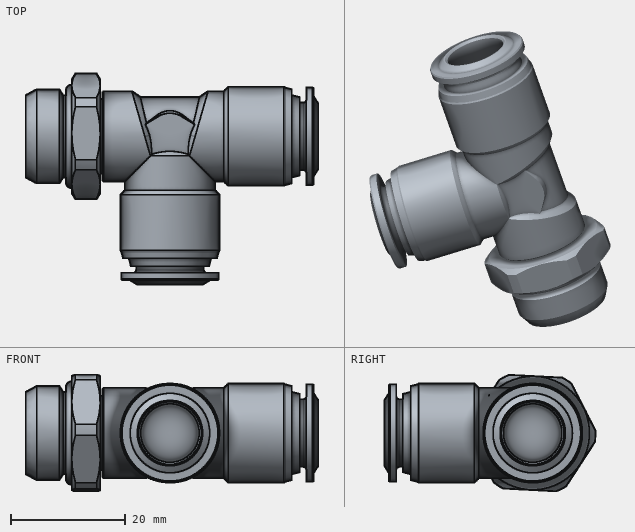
import cadquery as cq
import math


total_length = 51.3
port_reach = 26.0
stud_end_x = port_reach - total_length
body_radius = 7.95

stud_length = 13.45
thread_radius = 8.25
thread_root_radius = 7.25
thread_lead = 1.9
thread_end = 5.9
relief_start = 6.55
seal_centre_radius = 8.05
seal_section_radius = 1.05
seal_recess_radius = 9.45
seal_recess_depth = 0.35
hex_start = 8.05
hex_end = 13.1
neck_radius = 6.55
stud_bore_radius = 5.0
stud_bore_depth = 5.95
stud_bore_chamfer = 0.5

hex_flats = 20.0
hex_corners = 22.05
hex_chamfer_length = 0.65
hex_chamfer_radius = 9.95
hex_turn = -3.0

socket_radius = 8.7
socket_cone_start = 16.55
socket_start = 15.75
socket_end = 6.05
socket_bevel_end = 5.8
socket_bevel_radius = 8.55
lip_end = 4.6
lip_end_radius = 8.25
insert_radius = 7.25
insert_end = 3.25
insert_end_radius = 6.85
collet_neck_radius = 5.95
collet_neck_fillet = 0.5
collet_flange_radius = 8.55
collet_flange_start = 2.1
collet_flange_end = 0.75
collet_flange_bevel_length = 0.25
collet_flange_bevel_height = 0.15
collet_nose_radius = 7.0
collet_tip_radius = 5.75
collet_mouth_radius = 5.5
collet_mouth_depth = 0.35
port_bore_radius = 5.15
port_bore_depth = 4.65

body_edge_chamfer = 0.25
recess_level = 6.9
recess_tilt = 16.0
recess_wall_x = 4.4
recess_wall_taper = 50.0
recess_wall_length = 1.55
trim_size = 4 * body_radius
core_half_length = 6.15
pad_crown_radius = 4.05
pad_rear_y = 4.05
pad_side_angle = 32.0
pad_draft = 15.0
pad_draft_depth = 3.1
branch_root_y = -3.4
branch_root_length = 1.05
branch_root_angle = 53.0


def revolve_along_x(profile):
    """Revolve (x, radius) points about the X axis."""
    return cq.Workplane("XY").polyline(profile).close().revolve(360, (0, 0, 0), (1, 0, 0))


def make_hexagon():
    """Hexagon with turned corners and a chamfer on both faces, measured from the stud end."""
    blank = (
        cq.Workplane("YZ", origin=(hex_start, 0, 0))
        .polygon(6, hex_flats / math.cos(math.radians(30)))
        .extrude(hex_end - hex_start)
    )
    corner_radius = hex_corners / 2
    envelope = revolve_along_x([
        (hex_start, 0),
        (hex_start, hex_chamfer_radius),
        (hex_start + hex_chamfer_length, corner_radius),
        (hex_end - hex_chamfer_length, corner_radius),
        (hex_end, hex_chamfer_radius),
        (hex_end, 0),
    ])
    recess = revolve_along_x([
        (hex_start, 0),
        (hex_start, seal_recess_radius),
        (hex_start + seal_recess_depth, seal_recess_radius - seal_recess_depth),
        (hex_start + seal_recess_depth, 0),
    ])
    return blank.intersect(envelope).cut(recess)


def make_seal_ring():
    """Round-section ring half exposed in front of the hexagon."""
    return (
        cq.Workplane("XY", origin=(hex_start, 0, 0))
        .center(0, seal_centre_radius)
        .circle(seal_section_radius)
        .revolve(360, (0, -seal_centre_radius, 0), (1, -seal_centre_radius, 0))
    )


def make_stud():
    """Threaded stud with its hexagon, blind bore and plain rear face."""
    turned = revolve_along_x([
        (0, 0),
        (0, thread_root_radius),
        (thread_lead, thread_radius),
        (thread_end, thread_radius),
        (relief_start, thread_root_radius),
        (hex_end, thread_root_radius),
        (hex_end, neck_radius),
        (stud_length, neck_radius),
        (stud_length, 0),
    ])
    bore = revolve_along_x([
        (0, 0),
        (0, stud_bore_radius + stud_bore_chamfer),
        (stud_bore_chamfer, stud_bore_radius),
        (stud_bore_depth, stud_bore_radius),
        (stud_bore_depth, 0),
    ])
    stud = turned.union(make_seal_ring()).union(make_hexagon()).cut(bore)
    return stud.rotate((0, 0, 0), (1, 0, 0), hex_turn).translate((stud_end_x, 0, 0))


def make_port():
    """Push-in port along +X, from the socket to the collet tip."""
    flange_back = port_reach - collet_flange_start
    flange_front = port_reach - collet_flange_end
    fillet_chord = collet_neck_fillet * (1 - math.cos(math.pi / 4))
    port = (
        cq.Workplane("XY")
        .moveTo(port_reach - socket_cone_start, 0)
        .lineTo(port_reach - socket_cone_start, body_radius)
        .lineTo(port_reach - socket_start, socket_radius)
        .lineTo(port_reach - socket_end, socket_radius)
        .lineTo(port_reach - socket_bevel_end, socket_bevel_radius)
        .lineTo(port_reach - lip_end, lip_end_radius)
        .lineTo(port_reach - lip_end, insert_radius)
        .lineTo(port_reach - insert_end, insert_end_radius)
        .lineTo(port_reach - insert_end, collet_neck_radius)
        .lineTo(flange_back - collet_neck_fillet, collet_neck_radius)
        .threePointArc(
            (flange_back - fillet_chord, collet_neck_radius + fillet_chord),
            (flange_back, collet_neck_radius + collet_neck_fillet),
        )
        .lineTo(flange_back, collet_flange_radius)
        .lineTo(flange_front - collet_flange_bevel_length, collet_flange_radius)
        .lineTo(flange_front, collet_flange_radius - collet_flange_bevel_height)
        .lineTo(flange_front, collet_nose_radius)
        .lineTo(port_reach, collet_tip_radius)
        .lineTo(port_reach, 0)
        .close()
        .revolve(360, (0, 0, 0), (1, 0, 0))
    )
    bore = revolve_along_x([
        (port_reach - port_bore_depth, 0),
        (port_reach - port_bore_depth, port_bore_radius),
        (port_reach - collet_mouth_depth, port_bore_radius),
        (port_reach, collet_mouth_radius),
        (port_reach, 0),
    ])
    return port.cut(bore)


def make_run_half(start_x):
    """Run tube from start_x (negative) up to its tilted, tapered recess wall."""
    tilt = math.radians(recess_tilt)
    tube = revolve_along_x([
        (start_x, 0),
        (start_x, body_radius - body_edge_chamfer),
        (start_x + body_edge_chamfer, body_radius),
        (0, body_radius),
        (0, 0),
    ])
    wall_plane = cq.Plane(
        origin=(-recess_wall_x, 0, 0),
        xDir=(-math.sin(tilt), math.cos(tilt), 0),
        normal=(math.cos(tilt), math.sin(tilt), 0),
    )
    beyond_wall = cq.Workplane(wall_plane).rect(trim_size, trim_size).extrude(trim_size)
    wall = (
        cq.Workplane(wall_plane)
        .ellipse(body_radius / math.cos(tilt), body_radius)
        .extrude(recess_wall_length, taper=recess_wall_taper)
    )
    return tube.cut(beyond_wall).union(wall)


def make_pad():
    """Flat pad on the +Z side of the core, with a crowned rear end and drafted sides."""
    side = math.radians(pad_side_angle)
    crown_x = pad_crown_radius * math.sin(side)
    crown_y = pad_rear_y - pad_crown_radius * (1 - math.cos(side))
    side_y = crown_y - (core_half_length - crown_x) * math.tan(side)
    return (
        cq.Workplane("XY", origin=(0, 0, recess_level))
        .moveTo(-core_half_length, branch_root_y)
        .lineTo(-core_half_length, side_y)
        .lineTo(-crown_x, crown_y)
        .threePointArc((0, pad_rear_y), (crown_x, crown_y))
        .lineTo(core_half_length, side_y)
        .lineTo(core_half_length, branch_root_y)
        .close()
        .extrude(-pad_draft_depth, taper=-pad_draft)
    )


def make_core():
    """Reduced run tube at the bottom of the recess with a flat pad above and below."""
    tube = cq.Workplane("YZ").circle(recess_level).extrude(core_half_length, both=True)
    pad = make_pad()
    return tube.union(pad).union(pad.mirror("XY"))


def make_branch_tube():
    """Branch tube along -Y whose root tapers onto the flat pads."""
    root_radius = body_radius - branch_root_length * math.tan(math.radians(branch_root_angle))
    return (
        cq.Workplane("XY")
        .polyline([
            (0, socket_cone_start - port_reach),
            (body_radius, socket_cone_start - port_reach),
            (body_radius, branch_root_y),
            (root_radius, branch_root_y + branch_root_length),
            (0, branch_root_y + branch_root_length),
        ])
        .close()
        .revolve(360, (0, 0, 0), (0, 1, 0))
    )


def make_tee():
    """Tee housing with two push-in ports and a face for the stud."""
    stud_side = make_run_half(stud_end_x + stud_length)
    port_side = make_run_half(socket_cone_start - port_reach - body_edge_chamfer).mirror("YZ")
    run_port = make_port()
    branch_port = make_port().rotate((0, 0, 0), (0, 0, 1), -90)
    tee = make_core().union(make_branch_tube())
    for section in (stud_side, port_side, run_port, branch_port):
        tee = tee.union(section)
    return tee


stud = make_stud()
tee = make_tee()

result = cq.Compound.makeCompound([stud.val(), tee.val()])